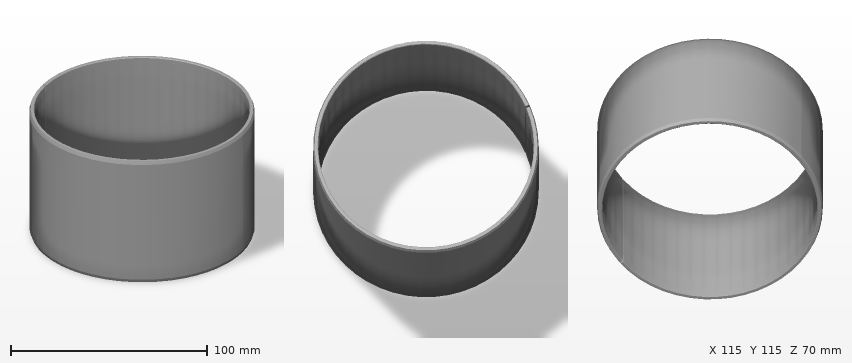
import cadquery as cq

outer_diameter = 115.0
wall = 2.5
height = 70.0

outer_chamfer_length = 1.8
outer_chamfer_depth = 0.7
inner_chamfer = 0.3

split_width = 1.0
split_start_y = 0.0

outer_radius = outer_diameter / 2
inner_radius = outer_radius - wall


def bushing_ring():
    """Revolve the chamfered wall section around Z."""
    section = [
        (inner_radius + inner_chamfer, 0),
        (outer_radius - outer_chamfer_depth, 0),
        (outer_radius, outer_chamfer_length),
        (outer_radius, height - outer_chamfer_length),
        (outer_radius - outer_chamfer_depth, height),
        (inner_radius + inner_chamfer, height),
        (inner_radius, height - inner_chamfer),
        (inner_radius, inner_chamfer),
    ]
    return cq.Workplane("XZ").polyline(section).close().revolve(360, (0, 0), (0, 1))


def split_cutter():
    """Slab from the axis out past the -X wall."""
    slab = cq.Workplane("XY").box(outer_diameter, split_width, height, centered=(True, False, False))
    return slab.translate((-outer_radius, split_start_y, 0))


result = bushing_ring().cut(split_cutter())